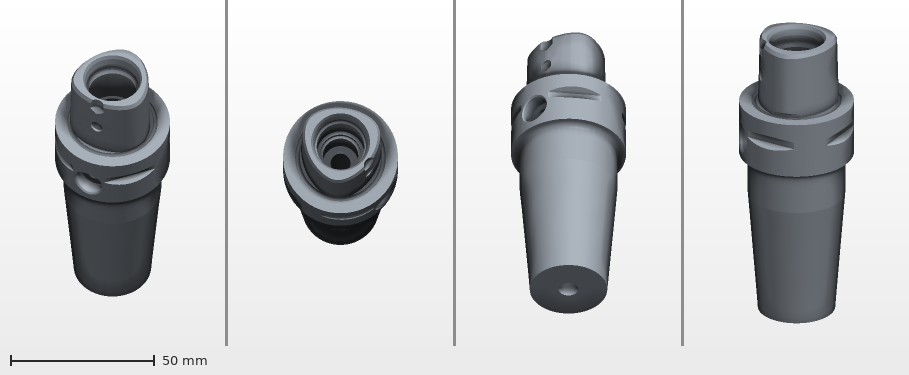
import cadquery as cq
import math


flange_diameter = 40.0
flange_length = 20.0
body_diameter = 34.0
body_fillet = 2.0
overall_length = 104.0
shank_length = 24.0
nose_z = shank_length - overall_length
nose_diameter = 27.0
nose_half_angle = 4.5

polygon_diameter = 28.0
polygon_eccentricity = 0.9
polygon_taper = 1 / 20
polygon_base_z = 1.6
shank_root_depth = 2.0
polygon_chamfer_radial = 0.8
polygon_chamfer_height = 1.3
lobe_count = 3
patch_count = 2 * lobe_count
points_per_patch = 7

relief_outer_radius = 15.75
relief_inner_radius = 14.15
relief_depth = 0.65
neck_height = 1.05

mouth_radius = 10.25
mouth_chamfer_depth = 1.2
mouth_chamfer_angle = 29.0
guide_angle = 15.0
lip_radius = 9.0
lip_depth = 4.4
groove_radius = 9.45
groove_bottom_depth = 6.1
groove_taper_angle = 22.0
groove_taper_depth = 6.65
thread_relief_radius = 8.3
thread_relief_depth = 20.0
thread_mouth_diameter = 14.3
thread_mouth_depth = 22.0
thread_diameter = 12.38
thread_depth = 34.0
coolant_diameter = 6.92

notch_diameter = 5.8
notch_axis_y = -13.8
notch_depth = 3.8
notch_tip_half_angle = 45.0

drill_half_angle = 59.0

dimple_diameter = 4.6
dimple_z = shank_length - 12.55
dimple_depth = 1.0

screw_z = -12.0
screw_diameter = 10.0
screw_chamfer = 0.5
screw_floor_radius = 15.0
pilot_diameter = 5.0
pilot_depth = 1.0

slot_count = 4
slot_z = -8.08
slot_floor_distance = 17.66
slot_floor_width = 2.4
slot_flank_angle = 30.0


def tangent(degrees):
    return math.tan(math.radians(degrees))


def polygon_point(angle, mean_radius):
    """Point of the polygon profile whose outward normal lies at `angle` from +X."""
    phase = lobe_count * (angle - math.pi / 2)
    support = mean_radius + polygon_eccentricity * math.cos(phase)
    slope = -lobe_count * polygon_eccentricity * math.sin(phase)
    x = support * math.cos(angle) - slope * math.sin(angle)
    y = support * math.sin(angle) + slope * math.cos(angle)
    return x, y


def polygon_tangent(angle):
    return -math.sin(angle), math.cos(angle)


def polygon_wire(z, mean_radius):
    """Closed profile made of one spline per lobe and one per flat."""
    patch_angle = 2 * math.pi / patch_count
    edges = []
    for patch in range(patch_count):
        start = math.pi / 2 - patch_angle / 2 + patch * patch_angle
        step = patch_angle / (points_per_patch - 1)
        angles = [start + i * step for i in range(points_per_patch)]
        points = [cq.Vector(*polygon_point(a, mean_radius), z) for a in angles]
        tangents = [cq.Vector(*polygon_tangent(a), 0) for a in (angles[0], angles[-1])]
        edges.append(cq.Edge.makeSpline(points, tangents))
    return cq.Wire.assembleEdges(edges)


def polygon_loft(z_low, radius_low, z_high, radius_high):
    wires = [polygon_wire(z_low, radius_low), polygon_wire(z_high, radius_high)]
    return cq.Workplane(cq.Solid.makeLoft(wires, True))


def make_shank():
    base_radius = polygon_diameter / 2
    chamfer_z = shank_length - polygon_chamfer_height
    chamfer_radius = base_radius - polygon_taper / 2 * (chamfer_z - polygon_base_z)
    neck = polygon_loft(-shank_root_depth, base_radius, polygon_base_z, base_radius)
    cone = polygon_loft(polygon_base_z, base_radius, chamfer_z, chamfer_radius)
    tip = polygon_loft(chamfer_z, chamfer_radius, shank_length, chamfer_radius - polygon_chamfer_radial)
    return neck.union(cone).union(tip)


def make_body():
    body_radius = body_diameter / 2
    taper_length = (body_diameter - nose_diameter) / 2 / tangent(nose_half_angle)
    taper_z = nose_z + taper_length
    fillet_end = (body_radius, -flange_length - body_fillet)
    fillet_mid = (
        body_radius + body_fillet * (1 - math.sqrt(0.5)),
        -flange_length - body_fillet * (1 - math.sqrt(0.5)),
    )
    return (
        cq.Workplane("XZ")
        .moveTo(0, 0)
        .lineTo(flange_diameter / 2, 0)
        .lineTo(flange_diameter / 2, -flange_length)
        .lineTo(body_radius + body_fillet, -flange_length)
        .threePointArc(fillet_mid, fillet_end)
        .lineTo(body_radius, taper_z)
        .lineTo(nose_diameter / 2, nose_z)
        .lineTo(0, nose_z)
        .close()
        .revolve(360, (0, 0, 0), (0, 1, 0))
    )


def make_relief():
    """Ring that sinks a groove in the contact face and trims the lobes above it."""
    mid_radius = (relief_outer_radius + relief_inner_radius) / 2
    return (
        cq.Workplane("XZ")
        .moveTo(relief_outer_radius, 0)
        .threePointArc((mid_radius, -relief_depth), (relief_inner_radius, 0))
        .lineTo(relief_inner_radius, neck_height)
        .lineTo(relief_outer_radius, neck_height + relief_outer_radius - relief_inner_radius)
        .close()
        .revolve(360, (0, 0, 0), (0, 1, 0))
    )


def make_bore():
    guide_radius = mouth_radius - mouth_chamfer_depth * tangent(mouth_chamfer_angle)
    guide_depth = mouth_chamfer_depth + (guide_radius - lip_radius) / tangent(guide_angle)
    seat_radius = groove_radius - (groove_taper_depth - groove_bottom_depth) * tangent(groove_taper_angle)
    seat_bottom_depth = groove_taper_depth + seat_radius - thread_relief_radius
    outline = [
        (0, 0),
        (mouth_radius, 0),
        (guide_radius, mouth_chamfer_depth),
        (lip_radius, guide_depth),
        (lip_radius, lip_depth),
        (groove_radius, lip_depth),
        (groove_radius, groove_bottom_depth),
        (seat_radius, groove_taper_depth),
        (thread_relief_radius, seat_bottom_depth),
        (thread_relief_radius, thread_relief_depth),
        (thread_mouth_diameter / 2, thread_relief_depth),
        (thread_mouth_diameter / 2, thread_mouth_depth),
        (thread_diameter / 2, thread_mouth_depth),
        (thread_diameter / 2, thread_depth),
        (coolant_diameter / 2, thread_depth),
        (coolant_diameter / 2, overall_length),
        (0, overall_length),
    ]
    points = [(radius, shank_length - depth) for radius, depth in outline]
    return cq.Workplane("XZ").polyline(points).close().revolve(360, (0, 0, 0), (0, 1, 0))


def drill(radius, length, tip_half_angle):
    """Drill shape along -Z from the origin: a cylinder ending in a cone."""
    tip = length + radius / tangent(tip_half_angle)
    points = [(0, 0), (radius, 0), (radius, -length), (0, -tip)]
    return cq.Workplane("XZ").polyline(points).close().revolve(360, (0, 0, 0), (0, 1, 0))


def make_notch():
    tool = drill(notch_diameter / 2, notch_depth, notch_tip_half_angle)
    return tool.translate((0, notch_axis_y, shank_length))


def radial_drill(radius, start_radius, floor_radius, z):
    """Drill shape entering from -Y towards the axis at height z."""
    tool = drill(radius, start_radius - floor_radius, drill_half_angle)
    return tool.rotate((0, 0, 0), (1, 0, 0), 90).translate((0, -start_radius, z))


def make_dimple():
    flat_distance = polygon_diameter / 2 - polygon_eccentricity
    return radial_drill(dimple_diameter / 2, polygon_diameter / 2, flat_distance - dimple_depth, dimple_z)


def cut_screw_hole(part):
    """Flat-bottomed radial hole with a chamfered rim and a drilled pilot in its floor."""
    hole = (
        cq.Workplane("XZ", origin=(0, -screw_floor_radius, screw_z))
        .circle(screw_diameter / 2)
        .extrude(flange_diameter / 2 - screw_floor_radius)
    )
    pilot = radial_drill(pilot_diameter / 2, screw_floor_radius, screw_floor_radius - pilot_depth, screw_z)
    rim_zone = cq.selectors.BoxSelector(
        (-screw_diameter, -flange_diameter, screw_z - screw_diameter),
        (screw_diameter, -screw_floor_radius - screw_chamfer, screw_z + screw_diameter),
    )
    return part.cut(hole).edges(rim_zone).chamfer(screw_chamfer).cut(pilot)


def make_slot():
    """Gripper slot with sloping flanks, running along Y on the +X side."""
    outer = flange_diameter / 2
    half_floor = slot_floor_width / 2
    half_mouth = half_floor + (outer - slot_floor_distance) * tangent(slot_flank_angle)
    section = [
        (slot_floor_distance, slot_z - half_floor),
        (slot_floor_distance, slot_z + half_floor),
        (outer, slot_z + half_mouth),
        (outer, slot_z - half_mouth),
    ]
    return cq.Workplane("XZ").polyline(section).close().extrude(outer, both=True)


body = cut_screw_hole(make_body())
result = body.union(make_shank()).cut(make_relief())
result = result.cut(make_bore()).cut(make_notch()).cut(make_dimple())
for index in range(slot_count):
    slot_angle = (index + 0.5) * 360 / slot_count
    result = result.cut(make_slot().rotate((0, 0, 0), (0, 0, 1), slot_angle))